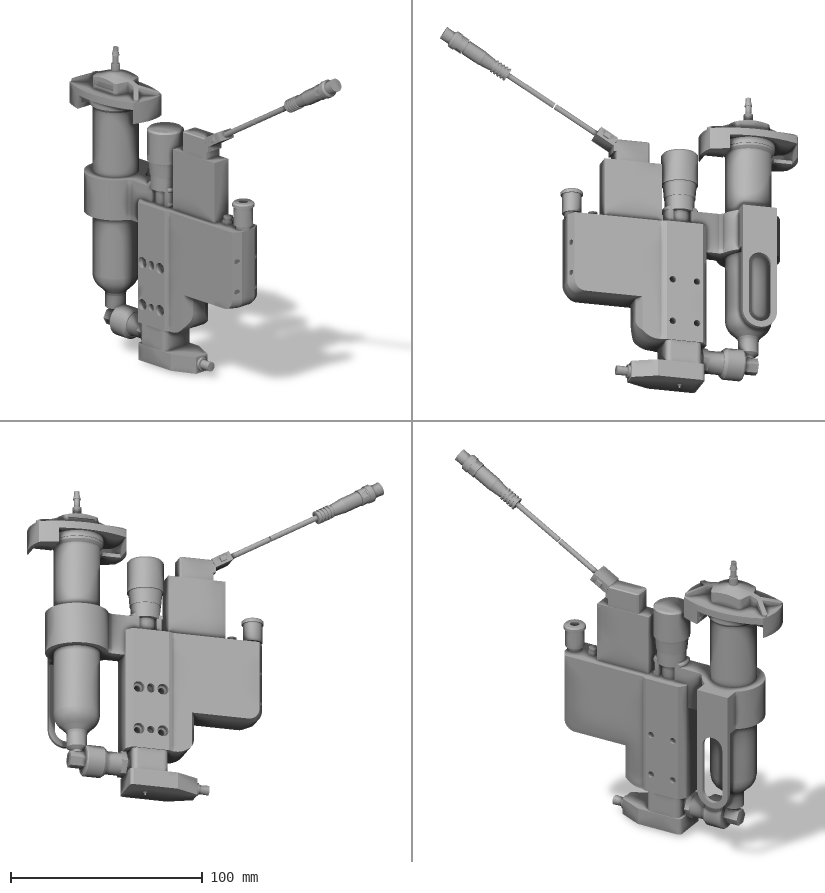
import cadquery as cq
import math

CARTRIDGE_X = 26.0
CARTRIDGE_R = 12.2
CARTRIDGE_SHOULDER_Z = 41.5

CAP_TOP_Z = 142.5
CAP_BOTTOM_Z = 131.0
CAP_PLATE = 3.9
CAP_HALF_LENGTH = 26.0
CAP_HALF_WIDTH = 15.8
CAP_CORNER_X = 23.7
CAP_CORNER_Y = 10.5
CAP_WALL = 2.3
CAP_EAR_LENGTH = 12.2
CAP_COLLAR_R = 13.5
HUB_HALF_WIDTH = 8.7
HUB_TOP_Z = 152.2
RIB_WIDTH = 2.7

RING_R = 16.5
RING_BOTTOM_Z = 75.2
RING_TOP_Z = 97.2
BACK_Y = 22.0
STRAP_WIDTH = 18.5
STRAP_THICKNESS = 2.1
STRAP_BOTTOM_Z = 30.0
STRAP_SLOT_WIDTH = 12.0
STRAP_SLOT_TOP_Z = 71.4
ARM_HALF_WIDTH = 5.2
CLIP_INNER_X = 4.8

VALVE_X = 63.3
VALVE_LEFT_X = 50.5
VALVE_BOTTOM_Z = 22.8
VALVE_TOP_Z = 88.7
VALVE_HALF_WIDTH = 10.2
REAR_HALF_WIDTH = 9.0
REAR_RIGHT_X = 125.4
REAR_BOTTOM_Z = 45.5
FOOT_RIGHT_X = 88.5
EDGE_CHAMFER_X = 2.7
EDGE_CHAMFER_Y = 4.6
FLUID_BLOCK_BOTTOM_Z = 11.0
NOZZLE_PLATE_BOTTOM_Z = 2.0
NOZZLE_TIP_Z = 0.2
ELBOW_Z = 16.0

CABLE_X = 131.0
CABLE_Z = 150.0
CABLE_SLOPE = 30
CABLE_D = 2.9
CABLE_GAP = 0.8
STRAIN_RELIEF_START = -36.7
STRAIN_RELIEF_END = -26.0


def box(x0, x1, y0, y1, z0, z1):
    """Box between two opposite corners."""
    return cq.Workplane("XY").box(x1 - x0, y1 - y0, z1 - z0, centered=False).translate((x0, y0, z0))


def post(x, z0, z1, diameter):
    """Upright cylinder on the Y = 0 plane."""
    return cq.Workplane("XY", origin=(x, 0, z0)).circle(diameter / 2).extrude(z1 - z0)


def rod(x0, x1, z, diameter):
    """Cylinder along X on the Y = 0 plane."""
    return cq.Workplane("YZ", origin=(x0, 0, z)).circle(diameter / 2).extrude(x1 - x0)


def upright_cone(x, z0, z1, bottom_d, top_d):
    """Upright frustum on the Y = 0 plane."""
    solid = cq.Solid.makeCone(bottom_d / 2, top_d / 2, z1 - z0, cq.Vector(x, 0, z0))
    return cq.Workplane("XY").newObject([solid])


def turned_along_x(profile):
    """Solid turned about the X axis from (position, diameter) points."""
    points = [(x, d / 2) for x, d in profile]
    outline = [(points[0][0], 0)] + points + [(points[-1][0], 0)]
    return cq.Workplane("XY").polyline(outline).close().revolve(360, (0, 0, 0), (1, 0, 0))


def along_cable(shape):
    """Move a shape built along X onto the sloping cable axis."""
    return shape.rotate((0, 0, 0), (0, 1, 0), -CABLE_SLOPE).translate((CABLE_X, 0, CABLE_Z))


def make_cartridge():
    """Barrel with a rounded shoulder and an outlet neck."""
    neck_r = 5.4
    outlet_r = 3.0
    outlet_z = 19.7
    return (
        cq.Workplane("XZ")
        .moveTo(0, outlet_z)
        .lineTo(outlet_r, outlet_z)
        .lineTo(outlet_r, 20.8)
        .lineTo(neck_r, 22.5)
        .lineTo(neck_r, 29.7)
        .lineTo(neck_r + 0.4, 31.3)
        .lineTo(8.1, 33.5)
        .threePointArc((11.2, 37.0), (CARTRIDGE_R, CARTRIDGE_SHOULDER_Z))
        .lineTo(CARTRIDGE_R, CAP_TOP_Z - CAP_PLATE)
        .lineTo(0, CAP_TOP_Z - CAP_PLATE)
        .close()
        .revolve(360, (0, 0, 0), (0, 1, 0))
        .translate((CARTRIDGE_X, 0, 0))
    )


def cap_outline(inset):
    """Closed lens-shaped outline with bulging ends, centred on the origin."""
    length = CAP_HALF_LENGTH - inset
    width = CAP_HALF_WIDTH - inset
    corner_x = CAP_CORNER_X - inset
    corner_y = CAP_CORNER_Y - inset
    return (
        cq.Workplane("XY")
        .moveTo(-corner_x, -corner_y)
        .threePointArc((0, -width), (corner_x, -corner_y))
        .threePointArc((length, 0), (corner_x, corner_y))
        .threePointArc((0, width), (-corner_x, corner_y))
        .threePointArc((-length, 0), (-corner_x, -corner_y))
        .close()
    )


def make_cap_hub():
    """Hub with four crossing ribs under a shallow cone."""
    height = HUB_TOP_Z - CAP_TOP_Z
    hub_flat = 7.1
    shoulder = (9.5, 6.8)
    waist_x = 11.2
    waist_y = 1.7
    fork_x = 15.2
    fork_web = 1.5
    rib_end = (23.2, 7.7)
    corner = (
        cq.Workplane("XY")
        .lineTo(0, HUB_HALF_WIDTH)
        .lineTo(hub_flat, HUB_HALF_WIDTH)
        .threePointArc((8.7, 8.1), shoulder)
        .lineTo(waist_x, waist_y)
        .lineTo(fork_x + fork_web, waist_y)
        .lineTo(fork_x + fork_web, 0)
        .close()
        .extrude(height)
    )
    rib_dx = rib_end[0] - fork_x
    rib_length = math.hypot(rib_dx, rib_end[1])
    rib_angle = math.degrees(math.atan2(rib_end[1], rib_dx))
    rib = (
        cq.Workplane("XY")
        .center(rib_length / 2, 0)
        .slot2D(rib_length + RIB_WIDTH, RIB_WIDTH)
        .extrude(height)
        .rotate((0, 0, 0), (0, 0, 1), rib_angle)
        .translate((fork_x, 0, 0))
    )
    quarter = corner.union(rib)
    half = quarter.union(quarter.mirror("XZ"))
    hub = half.union(half.mirror("YZ"))
    cone_base_r = 29.0
    cone_top_r = 2.5
    roof = upright_cone(0, 0, height, 2 * cone_base_r, 2 * cone_top_r)
    hub = hub.intersect(roof)
    label_recess = box(-hub_flat, hub_flat, -HUB_HALF_WIDTH, -HUB_HALF_WIDTH + 0.8, 1.7, 4.8)
    return hub.cut(label_recess).translate((CARTRIDGE_X, 0, CAP_TOP_Z))


def make_cap():
    """Plate with a skirt that is cut away between two bayonet ears, and a hose nipple."""
    height = CAP_TOP_Z - CAP_BOTTOM_Z
    skirt_height = height - CAP_PLATE
    floor_thickness = 2.0
    floor_bore_r = 13.0
    plate = cap_outline(0).extrude(CAP_PLATE).translate((0, 0, skirt_height))
    skirt = cap_outline(0).extrude(skirt_height)
    cavity = cap_outline(CAP_WALL).extrude(skirt_height).translate((0, 0, floor_thickness))
    skirt = skirt.cut(cavity).cut(post(0, 0, floor_thickness, 2 * floor_bore_r))
    ear_x = CAP_HALF_LENGTH - CAP_EAR_LENGTH
    opening = box(-ear_x, CAP_CORNER_X, -CAP_HALF_WIDTH, 0, 0, skirt_height)
    skirt = skirt.cut(opening).cut(opening.rotate((0, 0, 0), (0, 0, 1), 180))
    cap = plate.union(skirt).translate((CARTRIDGE_X, 0, CAP_BOTTOM_Z))
    cap = cap.union(make_cap_hub())
    collar_bottom_z = CAP_BOTTOM_Z + floor_thickness
    collar_d = 2 * CAP_COLLAR_R
    collar = upright_cone(CARTRIDGE_X, collar_bottom_z, collar_bottom_z + 1.5, 2 * CARTRIDGE_R, collar_d)
    cap = cap.union(collar)
    cap = cap.union(post(CARTRIDGE_X, collar_bottom_z + 1.5, collar_bottom_z + 2.7, collar_d))
    cap = cap.union(post(CARTRIDGE_X, collar_bottom_z + 2.7, CAP_TOP_Z, collar_d + 0.8))

    nipple_base_z = 156.0
    barb_z = 160.7
    nipple_top_z = 165.1
    cap = cap.union(post(CARTRIDGE_X, CAP_TOP_Z, nipple_base_z, 4.8))
    cap = cap.union(post(CARTRIDGE_X, nipple_base_z, barb_z, 3.0))
    cap = cap.union(upright_cone(CARTRIDGE_X, barb_z, nipple_top_z - 2, 4.0, 2.9))
    cap = cap.union(post(CARTRIDGE_X, nipple_top_z - 2, nipple_top_z, 2.9))
    return cap.cut(post(CARTRIDGE_X, nipple_base_z, nipple_top_z, 2.0))


def make_bracket():
    """Ring around the cartridge, slotted mounting strap and arm to the valve."""
    half_strap = STRAP_WIDTH / 2
    height = RING_TOP_Z - RING_BOTTOM_Z
    bracket = post(CARTRIDGE_X, RING_BOTTOM_Z, RING_TOP_Z, 2 * RING_R)
    block = box(
        CARTRIDGE_X - half_strap, CARTRIDGE_X + half_strap, 0, BACK_Y, RING_BOTTOM_Z, RING_TOP_Z
    )
    bracket = bracket.union(block)

    strap = (
        cq.Workplane("XZ", origin=(CARTRIDGE_X, BACK_Y, 0))
        .moveTo(-half_strap, RING_TOP_Z)
        .lineTo(-half_strap, STRAP_BOTTOM_Z + half_strap)
        .threePointArc((0, STRAP_BOTTOM_Z), (half_strap, STRAP_BOTTOM_Z + half_strap))
        .lineTo(half_strap, RING_TOP_Z)
        .close()
        .extrude(STRAP_THICKNESS)
    )
    slot_bottom_z = STRAP_BOTTOM_Z + half_strap - STRAP_SLOT_WIDTH / 2
    slot = (
        cq.Workplane("XZ", origin=(CARTRIDGE_X, BACK_Y, (slot_bottom_z + STRAP_SLOT_TOP_Z) / 2))
        .slot2D(STRAP_SLOT_TOP_Z - slot_bottom_z, STRAP_SLOT_WIDTH, 90)
        .extrude(STRAP_THICKNESS)
    )
    bracket = bracket.union(strap.cut(slot))

    ring_side_x = CARTRIDGE_X + 15.5
    arm_start_x = CARTRIDGE_X + 17.4
    arm_end_x = VALVE_X - CLIP_INNER_X
    arm = (
        cq.Workplane("XY", origin=(0, 0, RING_BOTTOM_Z))
        .moveTo(CARTRIDGE_X, -ARM_HALF_WIDTH - 2)
        .lineTo(ring_side_x, -ARM_HALF_WIDTH - 1.0)
        .lineTo(arm_start_x, -ARM_HALF_WIDTH)
        .lineTo(arm_end_x, -ARM_HALF_WIDTH)
        .lineTo(arm_end_x, ARM_HALF_WIDTH)
        .lineTo(arm_start_x, ARM_HALF_WIDTH)
        .lineTo(ring_side_x, ARM_HALF_WIDTH + 1.0)
        .lineTo(CARTRIDGE_X, ARM_HALF_WIDTH + 2)
        .close()
        .extrude(height)
    )
    return bracket.union(arm)


def rear_outline(right_x, y):
    """Side outline of the rear housing at one depth, with a rounded lower corner."""
    radius = 6.2
    return (
        cq.Workplane("XZ", origin=(0, y, 0))
        .moveTo(VALVE_X, REAR_BOTTOM_Z)
        .lineTo(right_x - radius, REAR_BOTTOM_Z)
        .radiusArc((right_x, REAR_BOTTOM_Z + radius), -radius)
        .lineTo(right_x, VALVE_TOP_Z)
        .lineTo(VALVE_X, VALVE_TOP_Z)
        .close()
        .val()
    )


def make_rear_housing():
    """Plate whose +X end is chamfered on both sides, following the rounded corner."""
    core_half_width = REAR_HALF_WIDTH - EDGE_CHAMFER_Y
    side_x = REAR_RIGHT_X - EDGE_CHAMFER_X
    outlines = [
        rear_outline(side_x, -REAR_HALF_WIDTH),
        rear_outline(REAR_RIGHT_X, -core_half_width),
        rear_outline(REAR_RIGHT_X, core_half_width),
        rear_outline(side_x, REAR_HALF_WIDTH),
    ]
    return cq.Workplane("XY").newObject([cq.Solid.makeLoft(outlines, True)])


def make_foot():
    """Lower plate with upright chamfers at its +X end and a large rounded lower corner."""
    corner_radius = 11.5
    core_half_width = REAR_HALF_WIDTH - EDGE_CHAMFER_Y
    side_x = FOOT_RIGHT_X - EDGE_CHAMFER_X
    height = REAR_BOTTOM_Z + 2 - VALVE_BOTTOM_Z
    plan = (
        cq.Workplane("XY", origin=(0, 0, VALVE_BOTTOM_Z))
        .moveTo(VALVE_X, -REAR_HALF_WIDTH)
        .lineTo(side_x, -REAR_HALF_WIDTH)
        .lineTo(FOOT_RIGHT_X, -core_half_width)
        .lineTo(FOOT_RIGHT_X, core_half_width)
        .lineTo(side_x, REAR_HALF_WIDTH)
        .lineTo(VALVE_X, REAR_HALF_WIDTH)
        .close()
        .extrude(height)
    )
    side = (
        cq.Workplane("XZ", origin=(0, REAR_HALF_WIDTH, 0))
        .moveTo(VALVE_X, VALVE_BOTTOM_Z)
        .lineTo(FOOT_RIGHT_X - corner_radius, VALVE_BOTTOM_Z)
        .radiusArc((FOOT_RIGHT_X, VALVE_BOTTOM_Z + corner_radius), -corner_radius)
        .lineTo(FOOT_RIGHT_X, VALVE_BOTTOM_Z + height)
        .lineTo(VALVE_X, VALVE_BOTTOM_Z + height)
        .close()
        .extrude(2 * REAR_HALF_WIDTH)
    )
    return plan.intersect(side)


def make_valve_body():
    """Wide front block and narrower stepped rear housing."""
    left_chamfer = (2.9, 3.7)
    block_right_x = 73.1
    step_end_x = 75.8
    block = (
        cq.Workplane("XY", origin=(0, 0, VALVE_BOTTOM_Z))
        .moveTo(VALVE_LEFT_X, -VALVE_HALF_WIDTH + left_chamfer[1])
        .lineTo(VALVE_LEFT_X + left_chamfer[0], -VALVE_HALF_WIDTH)
        .lineTo(block_right_x, -VALVE_HALF_WIDTH)
        .lineTo(step_end_x, -REAR_HALF_WIDTH)
        .lineTo(step_end_x, REAR_HALF_WIDTH)
        .lineTo(block_right_x, VALVE_HALF_WIDTH)
        .lineTo(VALVE_LEFT_X + left_chamfer[0], VALVE_HALF_WIDTH)
        .lineTo(VALVE_LEFT_X, VALVE_HALF_WIDTH - left_chamfer[1])
        .close()
        .extrude(VALVE_TOP_Z - VALVE_BOTTOM_Z)
    )
    return block.union(make_foot()).union(make_rear_housing())


def drill_valve_body(body):
    """Counterbored through holes and locating holes in the front, small holes in the end chamfers."""
    rows_z = (33.2, 56.3)
    bolt_offset = 6.5
    bolt_d = 3.5
    counterbore_d = 6.0
    counterbore_depth = 2.9
    front_y = -VALVE_HALF_WIDTH
    full_width = 2 * VALVE_HALF_WIDTH
    for z in rows_z:
        bolts = (
            cq.Workplane("XZ", origin=(VALVE_X, front_y, z))
            .pushPoints([(-bolt_offset, 0), (bolt_offset, 0)])
        )
        body = body.cut(bolts.circle(bolt_d / 2).extrude(-full_width))
        body = body.cut(bolts.circle(counterbore_d / 2).extrude(-counterbore_depth))

    locating_d = 4.0
    locating_depth = 3.9
    round_hole = cq.Workplane("XZ", origin=(VALVE_X, front_y, rows_z[0]))
    body = body.cut(round_hole.circle(locating_d / 2).extrude(-locating_depth))
    drill_tip = cq.Solid.makeCone(
        locating_d / 2, 0, 1.0, cq.Vector(VALVE_X, front_y + locating_depth, rows_z[0]), cq.Vector(0, 1, 0)
    )
    body = body.cut(cq.Workplane("XY").newObject([drill_tip]))
    slot = cq.Workplane("XZ", origin=(VALVE_X, front_y, rows_z[1])).slot2D(5.0, locating_d, 90)
    body = body.cut(slot.extrude(-locating_depth))

    end_hole_d = 2.9
    end_hole_depth = 1.5
    for z in (55.8, 72.5):
        for side in (-1, 1):
            outward = cq.Vector(EDGE_CHAMFER_Y, side * EDGE_CHAMFER_X, 0)
            entry = cq.Vector(
                REAR_RIGHT_X - EDGE_CHAMFER_X / 2, side * (REAR_HALF_WIDTH - EDGE_CHAMFER_Y / 2), z
            )
            hole = cq.Solid.makeCylinder(end_hole_d / 2, end_hole_depth, entry, outward * -1)
            body = body.cut(cq.Workplane("XY").newObject([hole]))
    return body


def make_knob():
    """Adjusting knob on the valve with its neck and retaining clip."""
    shoulder_z = RING_TOP_Z
    cone_bottom_z = 105.0
    cone_top_z = 112.7
    knob_top_z = 130.0
    knob = post(VALVE_X, VALVE_TOP_Z, shoulder_z, 10.5)
    knob = knob.union(post(VALVE_X, shoulder_z, cone_bottom_z, 15.6))
    knob = knob.union(upright_cone(VALVE_X, cone_bottom_z, cone_top_z, 16.4, 17.7))
    grip = post(VALVE_X, cone_top_z, knob_top_z, 19.3).faces(">Z").edges().chamfer(1.0)
    knob = knob.union(grip)
    return knob.union(make_clip())


def make_clip():
    """Two curved clip halves with beaded rims that hold the neck of the knob."""
    bead_r = 8.3
    bead_wire_r = 1.25
    clip_d = 2 * bead_r + 1.2
    clip = post(VALVE_X, VALVE_TOP_Z, RING_TOP_Z, clip_d)
    for bead_z in (VALVE_TOP_Z + bead_wire_r, RING_TOP_Z + 0.8):
        bead = cq.Solid.makeTorus(bead_r, bead_wire_r, cq.Vector(VALVE_X, 0, bead_z))
        clip = clip.union(cq.Workplane("XY").newObject([bead]))
    top_z = RING_TOP_Z + 3.9
    band = box(VALVE_X - 11.5, VALVE_X + 11.5, -ARM_HALF_WIDTH, ARM_HALF_WIDTH, VALVE_TOP_Z, top_z)
    gap = box(VALVE_X - CLIP_INNER_X, VALVE_X + CLIP_INNER_X, -11.5, 11.5, VALVE_TOP_Z, top_z)
    return clip.intersect(band).cut(gap)


def make_fluid_head():
    """Fluid block, nozzle plate, nozzle and heater connector under the valve."""
    block = box(53.8, 73.1, -9.6, 9.6, FLUID_BLOCK_BOTTOM_Z, VALVE_BOTTOM_Z).edges("|Z").fillet(2.7)
    plate_left_x = 52.3
    plate_right_x = 90.5
    taper_x = 78.0
    plate_half_width = 10.0
    plate_end_half_width = 4.2
    plate = (
        cq.Workplane("XY", origin=(0, 0, NOZZLE_PLATE_BOTTOM_Z))
        .moveTo(plate_left_x, -plate_half_width)
        .lineTo(taper_x, -plate_half_width)
        .lineTo(plate_right_x, -plate_end_half_width)
        .lineTo(plate_right_x, plate_end_half_width)
        .lineTo(taper_x, plate_half_width)
        .lineTo(plate_left_x, plate_half_width)
        .close()
        .extrude(FLUID_BLOCK_BOTTOM_Z - NOZZLE_PLATE_BOTTOM_Z)
        .edges("|Z and <X").fillet(2.0)
    )
    head = block.union(plate)
    connector_z = 6.5
    connector_end_x = 97.6
    head = head.union(rod(plate_right_x, plate_right_x + 1.4, connector_z, 7.0))
    head = head.union(rod(plate_right_x, connector_end_x - 1.5, connector_z, 4.8))
    head = head.union(rod(connector_end_x - 1.5, connector_end_x, connector_z, 5.0))
    nozzle_neck_z = 1.2
    head = head.union(upright_cone(VALVE_X, nozzle_neck_z, NOZZLE_PLATE_BOTTOM_Z, 1.0, 2.5))
    head = head.union(post(VALVE_X, NOZZLE_TIP_Z, nozzle_neck_z, 1.0))
    return head.cut(post(VALVE_X, NOZZLE_TIP_Z, NOZZLE_PLATE_BOTTOM_Z, 0.35))


def make_elbow():
    """Hexagonal elbow, union nut and hexagonal fitting between cartridge and fluid block."""
    hex_left_x = 21.6
    nut_left_x = 29.5
    nut_right_x = 39.2
    sleeve_d = 12.2
    fitting_x = 49.0
    fitting_right_x = 51.9
    hex_corner_d = 8.0 / math.cos(math.pi / 6)
    elbow = (
        cq.Workplane("YZ", origin=(hex_left_x, 0, ELBOW_Z))
        .polygon(6, hex_corner_d)
        .extrude(nut_left_x - hex_left_x)
    )
    nut = turned_along_x([
        (nut_left_x, 15.5),
        (nut_left_x + 0.8, 16.5),
        (nut_right_x, 16.5),
        (nut_right_x + 1.7, 13.9),
        (nut_right_x + 1.7, 12.7),
        (nut_right_x + 3.0, sleeve_d),
        (fitting_x, sleeve_d),
    ]).translate((0, 0, ELBOW_Z))
    fitting = (
        cq.Workplane("YZ", origin=(fitting_x, 0, ELBOW_Z))
        .polygon(6, sleeve_d / math.cos(math.pi / 6))
        .extrude(fitting_right_x - fitting_x)
    )
    stub = rod(fitting_right_x, VALVE_X, ELBOW_Z, 8.0)
    return elbow.union(nut).union(fitting).union(stub)


def make_top_fittings():
    """Air fitting and small set screw on top of the rear housing."""
    fitting_x = 121.7
    barrel_z = 91.0
    flange_z = 101.3
    top_z = 103.6
    fitting = post(fitting_x, VALVE_TOP_Z, barrel_z, 8.0)
    fitting = fitting.union(post(fitting_x, barrel_z, flange_z, 10.0))
    flange = post(fitting_x, flange_z, top_z, 11.5).faces(">Z").edges().chamfer(0.8)
    fitting = fitting.union(flange)
    fitting = fitting.cut(post(fitting_x, barrel_z, top_z, 5.0))
    screw_x = 110.4
    screw = (
        cq.Workplane("XY", origin=(screw_x, 0, VALVE_TOP_Z)).polygon(6, 6.0).extrude(2.0)
        .union(post(screw_x, VALVE_TOP_Z, 92.6, 4.0))
        .union(post(screw_x, 91.8, 92.8, 5.0))
    )
    return fitting.union(screw)


def make_actuator():
    """Actuator box with its plug, angled strain relief and the first length of cable."""
    half_width = 5.11
    plug_half_width = 4.8
    box_top_z = 122.0
    plug_top_z = 133.5
    plug_right_x = 99.0
    actuator = box(74.3, 105.3, -half_width, half_width, VALVE_TOP_Z, box_top_z)
    plug = box(80.6, plug_right_x, -plug_half_width, plug_half_width, box_top_z, plug_top_z)
    plug = plug.edges("|Z and <X").chamfer(1.0)
    plug = plug.faces(">Z").edges().chamfer(0.5)
    latch = box(plug_right_x, plug_right_x + 1.4, -plug_half_width, plug_half_width, 126.5, 131.2)
    relief_length = STRAIN_RELIEF_END - STRAIN_RELIEF_START
    relief = cq.Workplane("YZ", origin=(STRAIN_RELIEF_START, 0, 0)).rect(2 * half_width, 5.0)
    relief = relief.extrude(relief_length)
    tab_length = 3.5
    tabs = cq.Workplane("YZ", origin=(STRAIN_RELIEF_END - 3.3 - tab_length, 0, 0)).rect(12.7, 2.5)
    relief = relief.union(tabs.extrude(tab_length))
    cable_end = -CABLE_GAP / 2
    cable = turned_along_x([(STRAIN_RELIEF_START, CABLE_D), (cable_end, CABLE_D)])
    return actuator.union(plug).union(latch).union(along_cable(relief.union(cable)))


def make_cable_plug():
    """Second length of cable with the round connector, built along X from the cable gap."""
    rear = 29.3
    ring_pitch = 2.0
    ring_count = 5
    ring_d = 7.1
    ring_root_d = 6.0
    rings = []
    for i in range(ring_count):
        start = rear + i * ring_pitch
        end = start + ring_pitch / 2
        rings += [(start, ring_d), (end, ring_d), (end, ring_root_d), (start + ring_pitch, ring_root_d)]
    barrel = [(39.0, 6.4), (44.5, 7.5), (45.3, 8.0), (55.5, 8.0)]
    nut = [(55.5, 7.0), (56.1, 7.0), (56.1, 8.7), (60.5, 8.7), (60.5, 9.5), (63.5, 9.5), (64.2, 8.0)]
    nose = [(64.2, 7.0), (68.7, 7.0), (68.7, 7.1), (69.5, 7.1)]
    cable = [(CABLE_GAP / 2, CABLE_D), (rear, CABLE_D)]
    plug = turned_along_x(cable + rings + barrel + nut + nose)
    pocket_start = 57.0
    pocket_end = 59.8
    pocket_half_width = 1.5
    pocket_floor_r = 3.9
    pocket = box(pocket_start, pocket_end, -5.8, -pocket_floor_r, -pocket_half_width, pocket_half_width)
    for angle in (0, 90, 180, 270):
        plug = plug.cut(pocket.rotate((0, 0, 0), (1, 0, 0), angle))
    return along_cable(plug)


dispenser = drill_valve_body(make_valve_body())
for section in (
    make_bracket(),
    make_cartridge(),
    make_cap(),
    make_elbow(),
    make_fluid_head(),
    make_knob(),
    make_top_fittings(),
    make_actuator(),
):
    dispenser = dispenser.union(section)

cable_plug = make_cable_plug()

result = cq.Compound.makeCompound([dispenser.val(), cable_plug.val()])